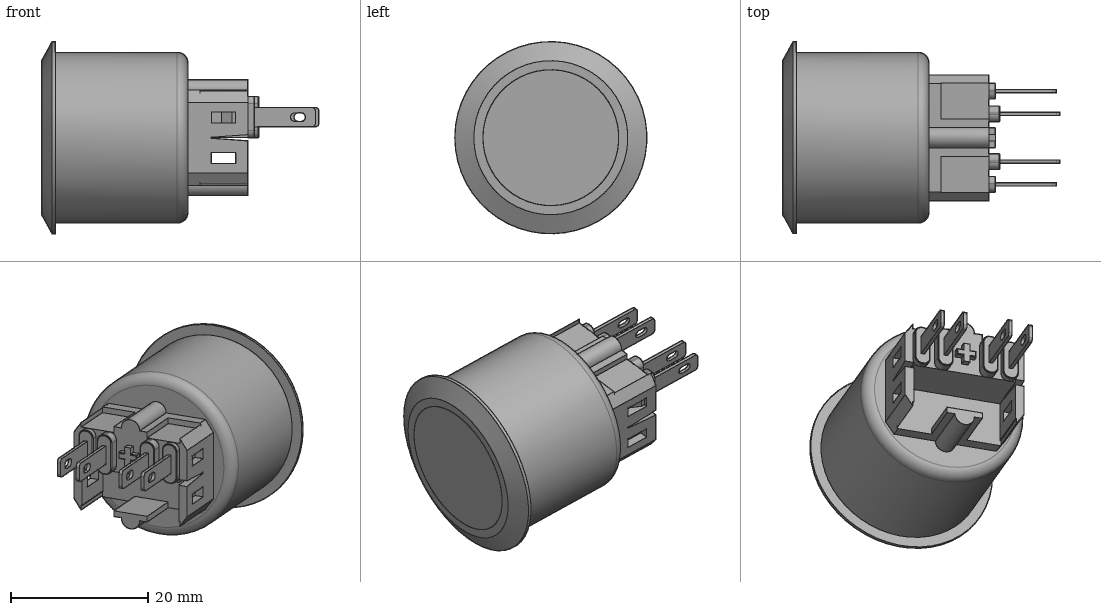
import cadquery as cq


flange_diameter = 28.0
face_diameter = 22.42
bevel_length = 1.55
flange_thickness = 2.0
barrel_diameter = 24.9
barrel_end = 21.35
barrel_round = 1.58

button_diameter = 19.75
button_bore = 19.8
button_gap_depth = 0.4

block_end = 30.05
block_width = 18.35
block_height = 13.9
block_bevel_y = 1.3
block_bevel_z = 1.8
side_wall = 1.35
top_wall = 0.9
cavity_start = 23.1
key_rod_radius = 1.5
key_rod_z = 6.95

opening_inner_y = 2.7
opening_outer_y = 8.0
window_start = 24.72
window_end = 28.3
window_height = 1.58
window_z = 2.95
slit_tip_half_height = 0.06
slit_half_height = 0.45

barb_start = 26.2
barb_crest = 27.7
barb_recess = 0.5

outer_terminal_y = 6.8
inner_terminal_y = 3.47
terminal_z = 3.0
collar_width = 2.35
collar_height = 6.05
collar_round = 1.05
collar_chamfer = 0.12
outer_collar_length = 0.95
inner_collar_length = 1.6
tab_width = 2.83
tab_thickness = 0.53
tab_corner = 0.53
outer_tab_end = 39.87
inner_tab_end = 40.4
eye_length = 2.15
eye_width = 1.2
eye_to_tip = 2.55

cross_size = 2.95
cross_arm = 0.95
cross_length = 0.95
cross_chamfer = 0.12

block_half_width = block_width / 2
block_half_height = block_height / 2
cavity_half_width = block_half_width - side_wall
cavity_half_height = block_half_height - top_wall


def box(x_range, y_range, z_range):
    """Axis-aligned box between the given limits."""
    (x0, x1), (y0, y1), (z0, z1) = x_range, y_range, z_range
    corner = cq.Vector(x0, y0, z0)
    return cq.Workplane(obj=cq.Solid.makeBox(x1 - x0, y1 - y0, z1 - z0, corner))


def x_plane(x, y=0, z=0):
    """Work plane across the switch axis; its local axes are Y and Z."""
    return cq.Workplane("YZ", origin=(x, y, z))


def make_housing():
    flange_radius = flange_diameter / 2
    barrel_radius = barrel_diameter / 2
    housing = (
        cq.Workplane("XY")
        .moveTo(0, 0)
        .lineTo(0, face_diameter / 2)
        .lineTo(bevel_length, flange_radius)
        .lineTo(flange_thickness, flange_radius)
        .lineTo(flange_thickness, barrel_radius)
        .lineTo(barrel_end, barrel_radius)
        .lineTo(barrel_end, 0)
        .close()
        .revolve(360, (0, 0, 0), (1, 0, 0))
        .faces(">X")
        .edges()
        .fillet(barrel_round)
    )
    button_gap = (
        x_plane(0).circle(button_bore / 2).circle(button_diameter / 2).extrude(button_gap_depth)
    )
    return housing.cut(button_gap)


def make_block():
    """Bevelled block with a round key rod along its top and bottom."""
    bevel_y = block_half_width - block_bevel_y
    bevel_z = block_half_height - block_bevel_z
    length = block_end - barrel_end
    block = (
        x_plane(barrel_end)
        .moveTo(-bevel_y, -block_half_height)
        .lineTo(bevel_y, -block_half_height)
        .lineTo(block_half_width, -bevel_z)
        .lineTo(block_half_width, bevel_z)
        .lineTo(bevel_y, block_half_height)
        .lineTo(-bevel_y, block_half_height)
        .lineTo(-block_half_width, bevel_z)
        .lineTo(-block_half_width, -bevel_z)
        .close()
        .extrude(length)
    )
    for side in (1, -1):
        rod = x_plane(barrel_end, z=side * key_rod_z).circle(key_rod_radius).extrude(length)
        block = block.union(rod)
    return block


def hollow_block(block):
    """Cut the cavity open at the rear, and the openings through the walls."""
    cavity_x = (cavity_start, block_end)
    cavity = box(
        cavity_x,
        (-cavity_half_width, cavity_half_width),
        (-cavity_half_height, cavity_half_height),
    )
    block = block.cut(cavity)

    for y_range in ((-opening_outer_y, -opening_inner_y), (opening_inner_y, opening_outer_y)):
        for z_range in (
            (-block_half_height, -cavity_half_height),
            (cavity_half_height, block_half_height),
        ):
            block = block.cut(box(cavity_x, y_range, z_range))

    for side in (1, -1):
        window_middle = side * window_z
        window = box(
            (window_start, window_end),
            (-block_half_width, block_half_width),
            (window_middle - window_height / 2, window_middle + window_height / 2),
        )
        block = block.cut(window)

    slit = (
        cq.Workplane("XZ")
        .moveTo(window_start, -slit_tip_half_height)
        .lineTo(window_start, slit_tip_half_height)
        .lineTo(block_end, slit_half_height)
        .lineTo(block_end, -slit_half_height)
        .close()
        .extrude(block_half_width, both=True)
    )
    return block.cut(slit)


def make_carrier():
    """Terminal carrier filling the upper half of the cavity, with its snap barbs."""
    carrier = box(
        (cavity_start, block_end),
        (-cavity_half_width, cavity_half_width),
        (0, cavity_half_height),
    )
    barb_tip = block_half_width - barb_recess
    barb = (
        cq.Workplane("XY", origin=(0, 0, window_z - window_height / 2))
        .moveTo(barb_start, cavity_half_width)
        .lineTo(barb_crest, barb_tip)
        .lineTo(window_end, barb_tip)
        .lineTo(window_end, cavity_half_width)
        .close()
        .extrude(window_height)
    )
    return carrier.union(barb).union(barb.mirror("XZ"))


def make_terminal(y, collar_length, tab_end):
    """Flat tab with an eye and rounded tip, standing in a rounded collar."""
    collar = (
        x_plane(block_end, y, terminal_z)
        .rect(collar_width, collar_height)
        .extrude(collar_length)
        .edges("|X")
        .fillet(collar_round)
        .faces(">X")
        .chamfer(collar_chamfer)
    )
    tab = (
        box(
            (block_end, tab_end),
            (y - tab_thickness / 2, y + tab_thickness / 2),
            (terminal_z - tab_width / 2, terminal_z + tab_width / 2),
        )
        .edges("|Y and >X")
        .fillet(tab_corner)
    )
    eye = (
        cq.Workplane("XZ", origin=(tab_end - eye_to_tip, y, terminal_z))
        .slot2D(eye_length, eye_width)
        .extrude(tab_thickness, both=True)
    )
    return collar.union(tab.cut(eye))


def make_cross_boss():
    plane = x_plane(block_end, z=terminal_z)
    upright = plane.rect(cross_arm, cross_size).extrude(cross_length)
    crossbar = (
        plane.rect(cross_size, cross_arm)
        .extrude(cross_length)
        .faces(">X")
        .chamfer(cross_chamfer)
    )
    return upright.union(crossbar)


result = make_housing().union(hollow_block(make_block())).union(make_carrier())
for side in (1, -1):
    outer = make_terminal(side * outer_terminal_y, outer_collar_length, outer_tab_end)
    inner = make_terminal(side * inner_terminal_y, inner_collar_length, inner_tab_end)
    result = result.union(outer).union(inner)
result = result.union(make_cross_boss())